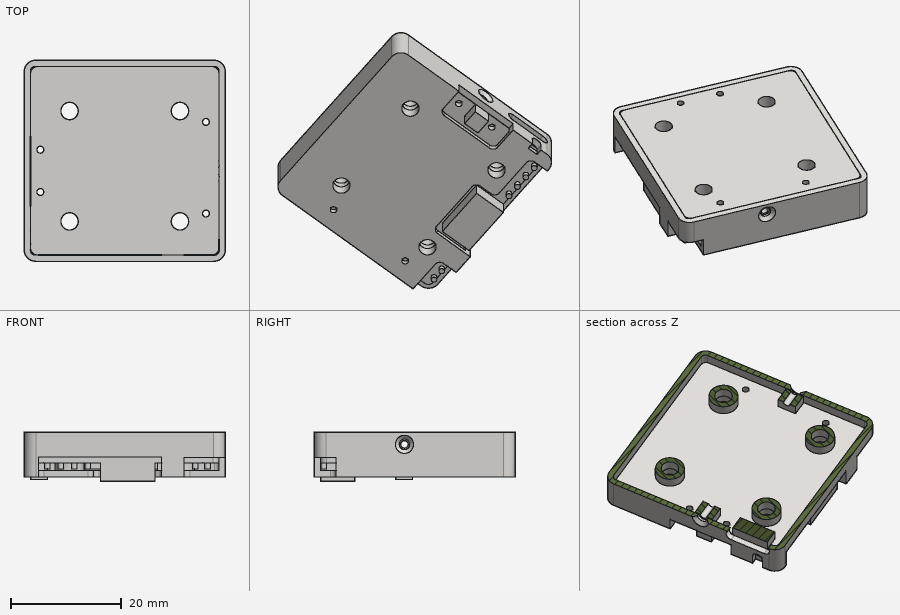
import cadquery as cq

side = 36.4
height = 8.1
wall = 1.15
corner_radius = 2.15
inner_radius = 0.8
floor_top = 1.2
notch_radius = 1.02
cavity_half = side / 2 - wall

cover_thickness = 1.02
cover_gap = 0.05
cover_radius = 1.15
cover_bottom = height - cover_thickness
lug_width = 3.65
lug_depth = 3.05

board_bottom = 2.55
board_top = 4.0
board_gap = 0.05
board_radius = 1.1
board_half = cavity_half - board_gap

mount_pitch = 19.95
mount_center_y = -1.0
mount_hole = 3.1
boss_diameter = 5.3
mount_points = [
    (sx * mount_pitch / 2, mount_center_y + sy * mount_pitch / 2) for sx in (-1, 1) for sy in (-1, 1)
]
pin_hole = 1.2
left_holes = [(-15.25, 2.0), (-15.25, -5.65)]
right_holes = [(14.67, 7.03), (14.67, -9.55)]
small_points = left_holes + right_holes

front_connector_x = (-4.4, 5.5)
front_connector_depth = 6.2
front_connector_bottom = -0.8
connector_clearance = 1.25

side_connector_y = (-3.45, -0.4)
side_connector_depth = 3.05
side_connector_bottom = -0.47

front_opening_x = (-15.58, 6.65)
front_opening_top = 3.6
pin_notch_depth = 4.0
corner_opening_x = 10.75
corner_opening_top = 3.5
side_opening_y = (-8.2, 4.35)

wall_slot_y = (-16.13, -7.17)
wall_slot_z = (4.0, 6.1)
cable_slot_width = 2.0
cable_slot_y = -13.65
cable_slot_top = 2.95

screw_y = -1.85
screw_z = 5.9
screw_sink = 3.28
screw_clearance = 1.9
thread_hole = 1.3

lead_diameter = 1.02
lead_bottom = 1.5
lead_y = -16.45
lead_xs = (-13.98, -11.58, -9.15, -6.7, 12.75, 14.95)
chip_x = (-7.35, 5.9)
chip_y = (-7.35, 3.2)
switch_y = (-15.05, -7.83)
switch_depth = 2.9
switch_top = 6.55

pad_radius = 1.02
pad_y = (chip_y[0], 2 * mount_center_y - chip_y[0])


def block(x, y, z):
    """Box between the given (low, high) limits on each axis."""
    corner = cq.Workplane("XY", origin=(x[0], y[0], z[0]))
    return corner.box(x[1] - x[0], y[1] - y[0], z[1] - z[0], centered=False)


def rounded_plate(half, radius, z):
    """Square plate, centred on Z, with rounded corners."""
    limits = (-half, half)
    return block(limits, limits, z).edges("|Z").fillet(radius)


def posts(points, diameter, z):
    """Round vertical posts at the given points."""
    return cq.Workplane("XY", origin=(0, 0, z[0])).pushPoints(points).circle(diameter / 2).extrude(z[1] - z[0])


def cut_through_holes(body):
    """Drill the mounting holes and the small holes right through a body."""
    full = (0, height)
    return body.cut(posts(mount_points, mount_hole, full)).cut(posts(small_points, pin_hole, full))


def front_opening():
    """Opening for the front leads, stepped deeper around the front connector."""
    x0, x1 = front_opening_x
    step_x = front_connector_x[0] - connector_clearance
    front = -side / 2
    shallow = front + pin_notch_depth
    deep = -board_half + front_connector_depth + connector_clearance
    notch = (
        cq.Workplane("XY")
        .polyline([(x0, front), (x0, shallow), (step_x, shallow), (step_x, deep), (x1, deep), (x1, front)])
        .close()
        .extrude(front_opening_top)
    )
    return notch.edges("|Z and (not <Y)").fillet(notch_radius)


def corner_opening():
    """Opening that takes away the lower part of the +X -Y corner."""
    front = -side / 2
    notch = block((corner_opening_x, side / 2), (front, front + pin_notch_depth), (0, corner_opening_top))
    return notch.edges("|Z and <X and >Y").fillet(notch_radius)


def side_opening():
    """Opening around the connector on the -X edge."""
    outer = -side / 2
    inner = -board_half + side_connector_depth + connector_clearance
    return block((outer, inner), side_opening_y, (0, board_bottom)).edges("|Z and >X").fillet(notch_radius)


def wall_slot():
    """Round-ended slot through the -X wall, above the board."""
    center_y = sum(wall_slot_y) / 2
    center_z = sum(wall_slot_z) / 2
    length = wall_slot_y[1] - wall_slot_y[0]
    width = wall_slot_z[1] - wall_slot_z[0]
    return cq.Workplane("YZ", origin=(-side / 2, center_y, center_z)).slot2D(length, width).extrude(wall)


def cable_slot():
    """Round-topped slot rising from the underside of the -X wall."""
    radius = cable_slot_width / 2
    arch_z = cable_slot_top - radius
    x = (-side / 2, -cavity_half)
    slot = block(x, (cable_slot_y - radius, cable_slot_y + radius), (0, arch_z))
    arch = cq.Workplane("YZ", origin=(x[0], cable_slot_y, arch_z)).circle(radius).extrude(wall)
    return slot.union(arch)


def screw_hole(outward):
    """Countersunk hole through the wall on the given side (-1 or +1 in X)."""
    axis = cq.Vector(-outward, 0, 0)
    face = cq.Vector(outward * side / 2, screw_y, screw_z)
    sink_depth = (screw_sink - screw_clearance) / 2
    shank = cq.Solid.makeCylinder(screw_clearance / 2, wall, face, axis)
    sink = cq.Solid.makeCone(screw_sink / 2, screw_clearance / 2, sink_depth, face, axis)
    return cq.Workplane(shank).union(cq.Workplane(sink))


def cover_lug(outward):
    """Lug inside the wall on the given side, with a hole for the screw."""
    wall_face = outward * (cavity_half - cover_gap)
    x = sorted((wall_face, wall_face - outward * lug_depth))
    lug = block(x, (screw_y - lug_width / 2, screw_y + lug_width / 2), (board_top, cover_bottom))
    hole = cq.Workplane("YZ", origin=(x[0], screw_y, screw_z)).circle(thread_hole / 2).extrude(lug_depth)
    return lug.cut(hole)


def make_housing():
    body = rounded_plate(side / 2, corner_radius, (0, height))
    body = body.cut(rounded_plate(cavity_half, inner_radius, (floor_top, height)))
    body = body.union(posts(mount_points, boss_diameter, (floor_top, board_bottom)))
    body = body.union(block(chip_x, pad_y, (floor_top, lead_bottom)).edges("|Z").fillet(pad_radius))
    for opening in (front_opening(), corner_opening(), side_opening(), wall_slot(), cable_slot()):
        body = body.cut(opening)
    for outward in (-1, 1):
        body = body.cut(screw_hole(outward))
    return cut_through_holes(body)


def make_cover():
    body = rounded_plate(cavity_half - cover_gap, cover_radius, (cover_bottom, height))
    body = body.union(posts(mount_points, boss_diameter, (board_top, cover_bottom)))
    for outward in (-1, 1):
        body = body.union(cover_lug(outward))
    return cut_through_holes(body)


def make_board():
    body = rounded_plate(board_half, board_radius, (board_bottom, board_top))
    body = cut_through_holes(body)
    edge = -board_half
    front_y = (edge, edge + front_connector_depth)
    side_x = (edge, edge + side_connector_depth)
    switch_x = (edge, edge + switch_depth)
    lead_points = [(x, lead_y) for x in lead_xs]
    parts = (
        block(front_connector_x, front_y, (front_connector_bottom, board_bottom)),
        block(side_x, side_connector_y, (side_connector_bottom, board_bottom)),
        block(switch_x, switch_y, (board_top, switch_top)),
        block(chip_x, chip_y, (lead_bottom, board_bottom)),
        posts(lead_points, lead_diameter, (lead_bottom, board_bottom)),
    )
    for part in parts:
        body = body.union(part)
    return body


housing = make_housing()
cover = make_cover()
board = make_board()
result = cq.Compound.makeCompound([housing.val(), cover.val(), board.val()])